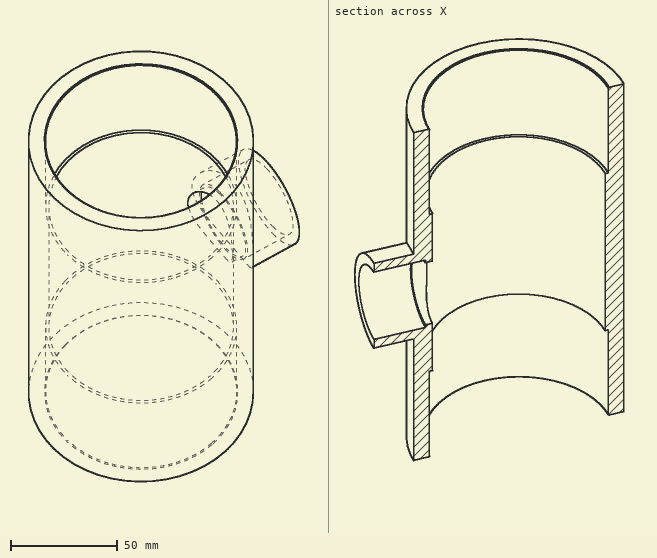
import cadquery as cq

run_length = 196.0
run_outer_diameter = 106.0
run_bore_diameter = 87.0
run_socket_diameter = 90.0
run_socket_depth = 51.0
run_mouth_chamfer = 0.5

branch_reach = 73.0
branch_outer_diameter = 51.0
branch_bore_diameter = 37.0
branch_socket_diameter = 40.0
branch_socket_depth = 26.0


def run_cavity():
    """Bore of the run with a chamfered socket at each end."""
    half_length = run_length / 2
    shoulder = half_length - run_socket_depth
    bore_radius = run_bore_diameter / 2
    socket_radius = run_socket_diameter / 2
    mouth_radius = socket_radius + run_mouth_chamfer
    chamfer_start = half_length - run_mouth_chamfer
    profile = [
        (0, -half_length),
        (mouth_radius, -half_length),
        (socket_radius, -chamfer_start),
        (socket_radius, -shoulder),
        (bore_radius, -shoulder),
        (bore_radius, shoulder),
        (socket_radius, shoulder),
        (socket_radius, chamfer_start),
        (mouth_radius, half_length),
        (0, half_length),
    ]
    return cq.Workplane("XZ").polyline(profile).close().revolve(360, (0, 0), (0, 1))


def branch_cylinder(diameter, start, end):
    """Cylinder on the branch axis between two distances from the run axis."""
    plane = cq.Workplane(cq.Plane(origin=(0, start, 0), xDir=(1, 0, 0), normal=(0, 1, 0)))
    return plane.circle(diameter / 2).extrude(end - start)


run_body = cq.Workplane("XY").circle(run_outer_diameter / 2).extrude(run_length / 2, both=True)
branch_body = branch_cylinder(branch_outer_diameter, 0, branch_reach)
branch_bore = branch_cylinder(branch_bore_diameter, 0, branch_reach)
branch_socket = branch_cylinder(
    branch_socket_diameter, branch_reach - branch_socket_depth, branch_reach
)

result = run_body.union(branch_body).cut(run_cavity()).cut(branch_bore).cut(branch_socket)